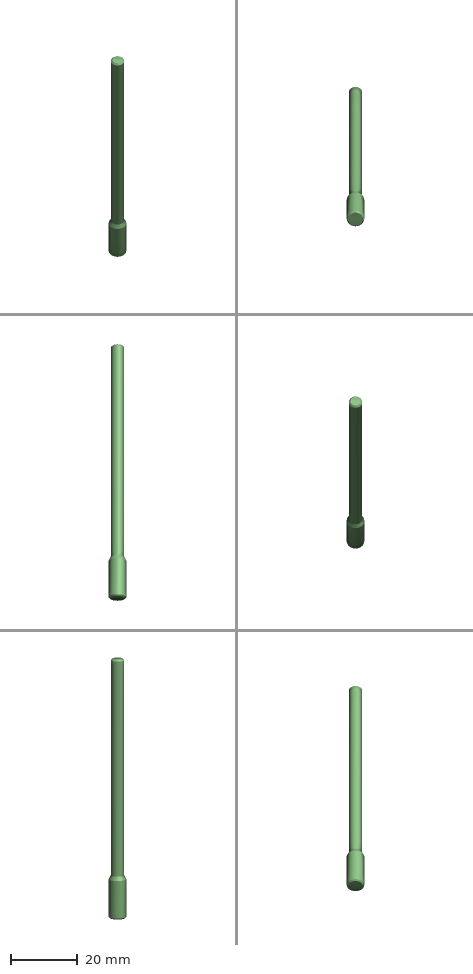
import cadquery as cq

TOTAL_LENGTH = 80.0
HEAD_DIAMETER = 5.3
SHANK_DIAMETER = 4.0

HEAD_LENGTH = 12.0
TAPER_LENGTH = 1.2

TIP_CHAMFER = 0.4
SHANK_CHAMFER = 0.5


def make_head():
    """Cylindrical head with a chamfered lower tip."""
    return (
        cq.Workplane("XY")
        .circle(HEAD_DIAMETER / 2)
        .extrude(HEAD_LENGTH)
        .faces("<Z")
        .chamfer(TIP_CHAMFER)
    )


def make_shank():
    """Slender shank that flares to the head diameter where it meets the head."""
    head_radius = HEAD_DIAMETER / 2
    shank_radius = SHANK_DIAMETER / 2
    half_profile = [
        (0, HEAD_LENGTH),
        (head_radius, HEAD_LENGTH),
        (shank_radius, HEAD_LENGTH + TAPER_LENGTH),
        (shank_radius, TOTAL_LENGTH - SHANK_CHAMFER),
        (shank_radius - SHANK_CHAMFER, TOTAL_LENGTH),
        (0, TOTAL_LENGTH),
    ]
    return cq.Workplane("XZ").polyline(half_profile).close().revolve(360, (0, 0), (0, 1))


head = make_head()
shank = make_shank()

result = cq.Compound.makeCompound([head.val(), shank.val()])